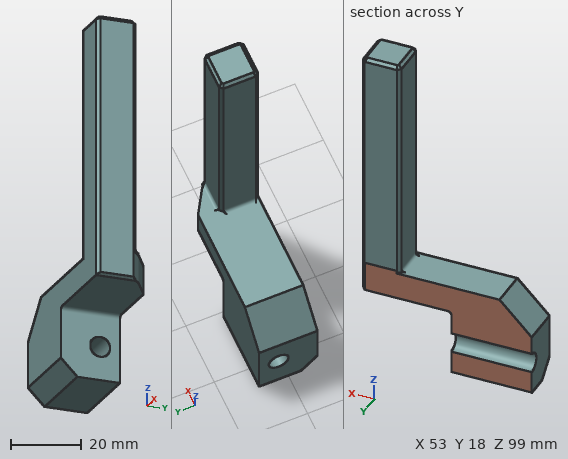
import cadquery as cq

total_length = 53.0
total_height = 99.0
body_depth = 18.0

foot_width = 25.0
arm_bottom = 20.4
arm_top = 28.9
shoulder_chamfer = 10.0
toe_chamfer = 5.0
inner_corner_radius = 1.2
end_bevel_length = 1.2
end_bevel_height = 0.7

back_cut_start = 43.0

post_side = 12.0
post_left = total_length - post_side
edge_chamfer = 1.0
flare = 1.0
flare_taper = 0.4

hole_diameter = 6.0
hole_from_back = 6.0
hole_height = 10.1


def make_body():
    """Foot and arm as one stepped profile, extruded from front to back."""
    profile = (
        cq.Workplane("XZ")
        .moveTo(0, 0)
        .lineTo(foot_width, 0)
        .lineTo(foot_width, arm_bottom - inner_corner_radius)
        .radiusArc((foot_width + inner_corner_radius, arm_bottom), inner_corner_radius)
        .lineTo(total_length - end_bevel_length, arm_bottom)
        .lineTo(total_length, arm_bottom + end_bevel_height)
        .lineTo(total_length, arm_top)
        .lineTo(shoulder_chamfer, arm_top)
        .lineTo(0, arm_top - shoulder_chamfer)
        .close()
    )
    return profile.extrude(-body_depth)


def make_toe_cut():
    """Wedge removed along the lower front edge of the foot."""
    return (
        cq.Workplane("YZ")
        .polyline([(0, 0), (toe_chamfer, 0), (0, toe_chamfer)])
        .close()
        .extrude(foot_width)
    )


def make_plan_outline():
    """Plan shape of the body: slanted back corner and chamfered end corners."""
    slant = (body_depth - post_side) / (total_length - back_cut_start)
    meeting_offset = edge_chamfer / (1 - slant)
    end_corner_y = post_side - edge_chamfer
    return (
        cq.Workplane("XY")
        .moveTo(0, 0)
        .lineTo(total_length - edge_chamfer, 0)
        .lineTo(total_length, edge_chamfer)
        .lineTo(total_length, end_corner_y)
        .lineTo(total_length - meeting_offset, end_corner_y + meeting_offset)
        .lineTo(back_cut_start, body_depth)
        .lineTo(0, body_depth)
        .close()
        .extrude(total_height)
    )


def make_post():
    """Square post with chamfered vertical edges and top rim."""
    return (
        cq.Workplane("XY")
        .box(post_side, post_side, total_height - arm_bottom - end_bevel_height, centered=False)
        .edges("|Z")
        .chamfer(edge_chamfer)
        .faces(">Z")
        .chamfer(edge_chamfer)
        .translate((post_left, 0, arm_bottom + end_bevel_height))
    )


def make_flare():
    """Concave rounded skirt along one flat of the post, standing on the left side of the post."""
    flat_start = edge_chamfer
    flat_end = post_side - edge_chamfer
    fillet_bar = (
        cq.Workplane("XZ")
        .moveTo(0, 0)
        .lineTo(-flare, 0)
        .radiusArc((0, flare), -flare)
        .close()
        .extrude(-post_side)
    )
    footprint = (
        cq.Workplane("XY")
        .polyline([
            (0, flat_start),
            (0, flat_end),
            (-flare, flat_end - flare_taper),
            (-flare, flat_start + flare_taper),
        ])
        .close()
        .extrude(flare)
    )
    return fillet_bar.intersect(footprint).translate((post_left, 0, arm_top))


def make_flares():
    """Skirts on the left and back flats of the post."""
    left_flare = make_flare()
    post_center = (post_left + post_side / 2, post_side / 2)
    back_flare = left_flare.rotate((*post_center, 0), (*post_center, 1), -90)
    return left_flare.union(back_flare)


def make_hole():
    """Hole running along X through the foot."""
    return (
        cq.Workplane("YZ")
        .center(body_depth - hole_from_back, hole_height)
        .circle(hole_diameter / 2)
        .extrude(foot_width)
    )


body = make_body().intersect(make_plan_outline())
result = body.union(make_post()).union(make_flares()).cut(make_toe_cut()).cut(make_hole())